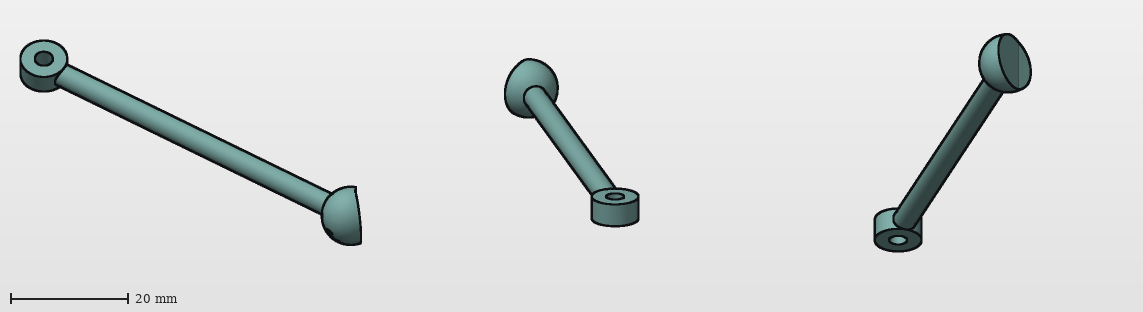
import cadquery as cq
import math

LENGTH = 69.75
ROD_DIAMETER = 4.0
EYE_DIAMETER = 8.0
EYE_HOLE_DIAMETER = 3.1
BALL_RADIUS = 4.99
TIP_REACH = 4.0
UPPER_TIP_RISE = 4.64
NOTCH_X = -0.35
NOTCH_Y = 1.95

ball_x = LENGTH - EYE_DIAMETER / 2 - TIP_REACH
far_tip_drop = math.sqrt(BALL_RADIUS**2 - TIP_REACH**2)
upper_tip_back = math.sqrt(BALL_RADIUS**2 - UPPER_TIP_RISE**2)


def make_ball():
    """Ball whose far side is cut away by two planes meeting in a shallow V."""
    overshoot = 2.0
    root = cq.Vector(NOTCH_X, NOTCH_Y, 0)
    upper_tip = cq.Vector(-upper_tip_back, UPPER_TIP_RISE, 0)
    far_tip = cq.Vector(TIP_REACH, -far_tip_drop, 0)
    upper_end = root + (upper_tip - root) * overshoot
    far_end = root + (far_tip - root) * overshoot
    cutter = (
        cq.Workplane("XY")
        .moveTo(root.x, root.y)
        .lineTo(upper_end.x, upper_end.y)
        .lineTo(far_end.x, upper_end.y)
        .lineTo(far_end.x, far_end.y)
        .close()
        .extrude(2 * BALL_RADIUS, both=True)
    )
    ball = cq.Workplane("XY").sphere(BALL_RADIUS).cut(cutter)
    return ball.translate((ball_x, 0, 0))


def make_rod():
    """Round rod from the eye axis into the ball, short of its cut face."""
    rod_length = ball_x - BALL_RADIUS / 2
    return cq.Workplane("YZ").circle(ROD_DIAMETER / 2).extrude(rod_length)


def make_eye():
    """Flat disc, as thick as the rod, centred on the rod axis."""
    return cq.Workplane("XY").cylinder(ROD_DIAMETER, EYE_DIAMETER / 2)


eye_hole = cq.Workplane("XY").cylinder(2 * ROD_DIAMETER, EYE_HOLE_DIAMETER / 2)

result = make_eye().union(make_rod()).union(make_ball()).cut(eye_hole)